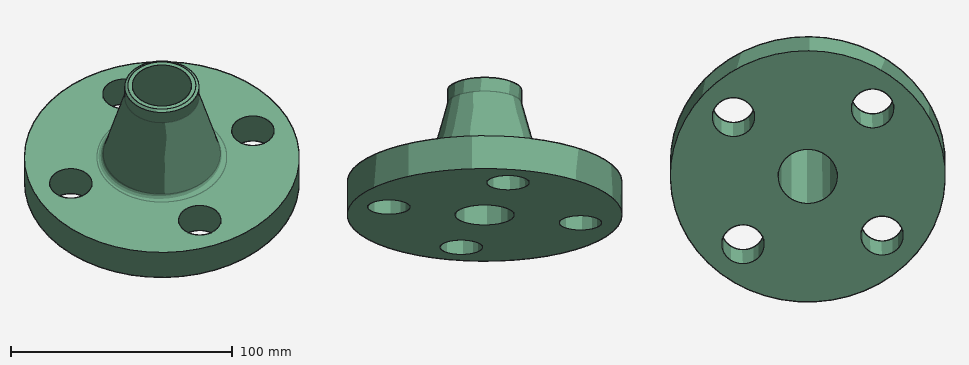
import cadquery as cq

flange_diameter = 123.9
flange_thickness = 15.7
total_height = 60.5

bore_diameter = 26.6
neck_diameter = 33.5
neck_length = 7.2
weld_face_diameter = 30.6
weld_bevel_height = 0.7
hub_base_diameter = 54.0
hub_fillet_radius = 3.0

bolt_circle_diameter = 88.9
bolt_hole_diameter = 19.1
bolt_hole_count = 4


def make_flange():
    """Plain round disc resting on Z = 0."""
    return cq.Workplane("XY").circle(flange_diameter / 2).extrude(flange_thickness)


def make_hub():
    """Tapered hub, straight neck and weld bevel, revolved about Z."""
    neck_radius = neck_diameter / 2
    half_section = (
        cq.Workplane("XZ")
        .moveTo(0, flange_thickness)
        .lineTo(hub_base_diameter / 2, flange_thickness)
        .lineTo(neck_radius, total_height - neck_length)
        .lineTo(neck_radius, total_height - weld_bevel_height)
        .lineTo(weld_face_diameter / 2, total_height)
        .lineTo(0, total_height)
        .close()
    )
    return half_section.revolve(360, (0, 0), (0, 1))


def round_hub_base(body):
    """Fillet the circle where the tapered hub meets the flange face."""
    second_largest = -2
    hub_base_edge = cq.selectors.RadiusNthSelector(second_largest)
    return body.edges("%CIRCLE").edges(hub_base_edge).fillet(hub_fillet_radius)


def cut_bore(body):
    """Central bore through the full height."""
    bore = cq.Workplane("XY").circle(bore_diameter / 2).extrude(total_height)
    return body.cut(bore)


def cut_bolt_holes(body):
    """Evenly spaced through holes, the first one on the +X axis."""
    holes = (
        cq.Workplane("XY")
        .polarArray(bolt_circle_diameter / 2, 0, 360, bolt_hole_count)
        .circle(bolt_hole_diameter / 2)
        .extrude(flange_thickness)
    )
    return body.cut(holes)


result = make_flange().union(make_hub())
result = round_hub_base(result)
result = cut_bore(result)
result = cut_bolt_holes(result)